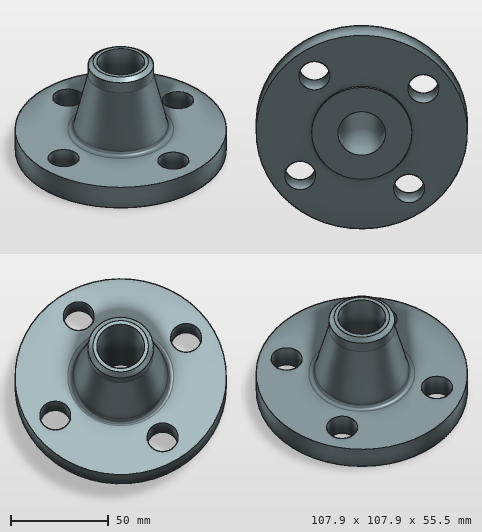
import cadquery as cq

flange_diameter = 107.9
flange_thickness = 12.6
face_diameter = 51.2
face_height = 1.6

total_height = 55.5
hub_base_diameter = 49.3
hub_fillet_radius = 3.0
neck_diameter = 33.5
neck_length = 8.0
bevel_width = 2.6
bevel_height = 1.8
bore_diameter = 24.3

bolt_count = 4
bolt_circle_diameter = 79.3
bolt_hole_diameter = 15.8

flange_top = face_height + flange_thickness
neck_bottom = total_height - neck_length

flange_radius = flange_diameter / 2
face_radius = face_diameter / 2
hub_base_radius = hub_base_diameter / 2
neck_radius = neck_diameter / 2


def make_flange_body():
    """Revolve the solid half section about Z and round the foot of the hub."""
    section = (
        cq.Workplane("XZ")
        .lineTo(face_radius, 0)
        .lineTo(face_radius, face_height)
        .lineTo(flange_radius, face_height)
        .lineTo(flange_radius, flange_top)
        .lineTo(hub_base_radius, flange_top)
        .lineTo(neck_radius, neck_bottom)
        .lineTo(neck_radius, total_height - bevel_height)
        .lineTo(neck_radius - bevel_width, total_height)
        .lineTo(0, total_height)
        .close()
    )
    body = section.revolve(360, (0, 0, 0), (0, 1, 0))
    hub_edges = body.faces("%CONE").edges("<Z")
    return body.newObject(hub_edges.vals()).fillet(hub_fillet_radius)


def make_bore():
    return cq.Workplane("XY").circle(bore_diameter / 2).extrude(total_height)


def make_bolt_holes():
    return (
        cq.Workplane("XY")
        .polarArray(bolt_circle_diameter / 2, 0, 360, bolt_count)
        .circle(bolt_hole_diameter / 2)
        .extrude(flange_top)
    )


result = make_flange_body().cut(make_bore()).cut(make_bolt_holes())